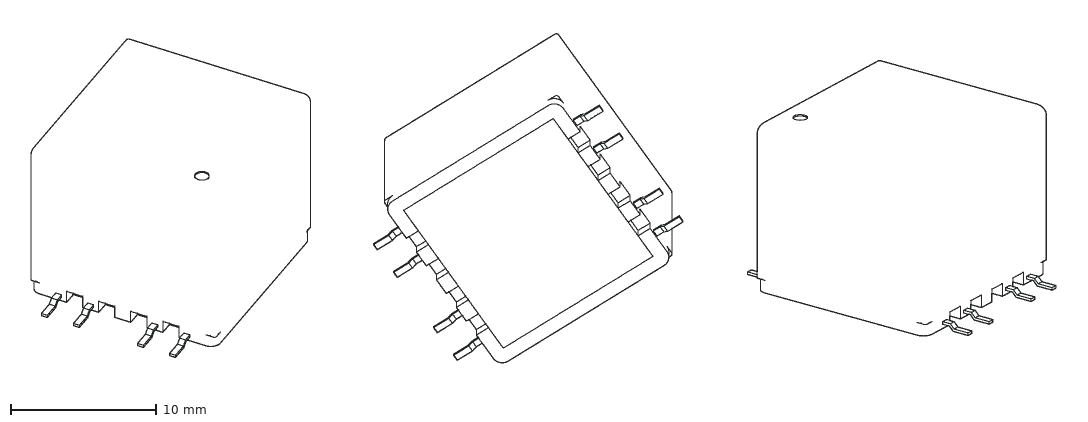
import cadquery as cq
import math

case_side = 14.36
case_height = 12.7
top_edge_radius = 0.985
corner_radius = 0.19

foot_height = 0.95
foot_corner_radius = 0.75

wall = 1.0
cavity_side = case_side - 2 * wall
cavity_height = case_height - wall

pitch = 2.48
notch_width = pitch / 2
notch_height = foot_height
notch_centres = [step * pitch for step in (-1.5, -0.5, 0.5, 1.5)]
lead_centres = [step * pitch for step in (-2, -1, 1, 2)]

dot_diameter = 1.0
dot_depth = 0.1
dot_offset = 5.0

lead_span = 18.65
lead_width = 0.46
lead_thickness = 0.2
lead_rise = 0.32
pad_length = 1.18
ramp_angle = 45
bend_shift = lead_thickness * math.tan(math.radians(ramp_angle / 2))


def block(side, bottom, height):
    """Square block centred on the Z axis, standing on the given level."""
    return cq.Workplane("XY").workplane(offset=bottom).rect(side, side).extrude(height)


def make_outer_shape():
    """Rounded cap standing on a foot with larger corner radii."""
    cap = block(case_side, foot_height, case_height - foot_height)
    cap = cap.faces(">Z").edges().fillet(top_edge_radius)
    cap = cap.edges("|Z").fillet(corner_radius)
    foot = block(case_side, 0, foot_height).edges("|Z").fillet(foot_corner_radius)
    return cap.union(foot)


def make_case():
    """Open-bottomed case with notches in the front and back walls and a pin 1 dot on top."""
    case = make_outer_shape().cut(block(cavity_side, 0, cavity_height))
    for x in notch_centres:
        front_notch = (
            cq.Workplane("XY")
            .box(notch_width, wall, notch_height, centered=(True, False, False))
            .translate((x, -case_side / 2, 0))
        )
        case = case.cut(front_notch).cut(front_notch.mirror("XZ"))
    dot = (
        cq.Workplane("XY")
        .workplane(offset=case_height - dot_depth)
        .center(dot_offset, -dot_offset)
        .circle(dot_diameter / 2)
        .extrude(dot_depth)
    )
    return case.cut(dot)


def make_core():
    """Solid filling of the case cavity, flush with the underside."""
    return block(cavity_side, 0, cavity_height)


def make_lead(x):
    """Gull-wing lead running out from the +Y wall of the case."""
    root = case_side / 2
    tip = lead_span / 2
    ramp_foot = tip - pad_length
    ramp_head = ramp_foot - lead_rise / math.tan(math.radians(ramp_angle))
    profile = [
        (root, lead_rise),
        (ramp_head - bend_shift, lead_rise),
        (ramp_foot - bend_shift, 0),
        (tip, 0),
        (tip, lead_thickness),
        (ramp_foot, lead_thickness),
        (ramp_head, lead_rise + lead_thickness),
        (root, lead_rise + lead_thickness),
    ]
    lead = cq.Workplane("YZ").polyline(profile).close().extrude(lead_width / 2, both=True)
    return lead.translate((x, 0, 0))


case = make_case()
core = make_core()
back_leads = [make_lead(x) for x in lead_centres]
front_leads = [lead.mirror("XZ") for lead in back_leads]

leads = back_leads + front_leads
result = cq.Compound.makeCompound([case.val(), core.val(), *[lead.val() for lead in leads]])